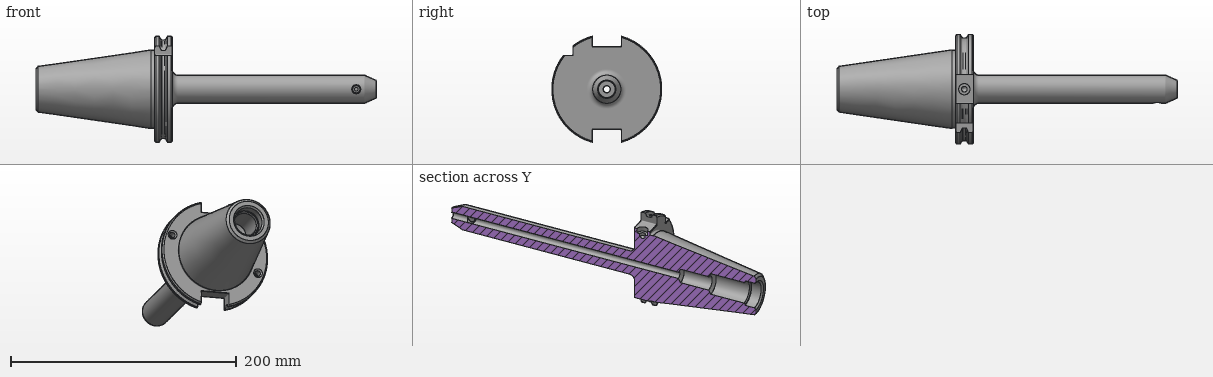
import cadquery as cq
import math


gauge_radius = 69.85 / 2
taper_length = 101.75
taper_slope = 7 / 48
taper_end_radius = gauge_radius - taper_length * taper_slope
taper_end_chamfer = 2.0

flange_radius = 97.5 / 2
flange_start = 3.2
flange_end = 19.1
flange_front_chamfer = 1.3
flange_rear_chamfer = 1.0
relief_depth = 0.35
vee_center = 11.1
vee_depth = 3.1
vee_floor_width = 3.8
vee_half_angle = 30
vee_floor_fillet = 1.2

slot_width = 25.7
upper_slot_floor = 37.7
lower_slot_floor = 35.5
notch_offset = 30.0
slot_corner_radius = 0.8
slot_floor_chamfer = 0.5

shank_radius = 12.5
shank_fillet = 5.0
tip_end = 200.0
tip_chamfer = 0.7
tip_radius = 8.1
tip_cone_angle = 24
tip_blend_radius = 2.0

mouth_radius = 14.2
counterbore_radius = 12.6
counterbore_depth = 11.0
thread_mouth_radius = 11.6
thread_radius = 10.5
thread_depth = 45.0
drill_radius = 6.8
drill_depth = 75.0
drill_half_angle = 59
tool_bore_radius = 3.0

coolant_circle_radius = 42.0
coolant_tilt = 20
coolant_radius = 2.5
coolant_mouth_radius = 4.0
coolant_chamfer = 1.0
coolant_depth = 10.0

chip_radius = 5.0
chip_depth = 4.6
chip_pilot_radius = 2.5
chip_pilot_depth = 3.0

screw_x = tip_end - 18.0
screw_radius = 4.0
screw_recess = 1.0
screw_chamfer = 0.8
hex_size = 3.0
hex_depth = 3.0


def cone_length(large_radius, small_radius):
    """Axial length of a drill point between two radii."""
    return (large_radius - small_radius) / math.tan(math.radians(drill_half_angle))


def drill_point(radius, base, direction):
    """Conical bottom of a drilled hole."""
    return cq.Solid.makeCone(radius, 0, cone_length(radius, 0), base, direction)


def revolve_about_x(outline):
    return outline.close().revolve(360, (0, 0, 0), (1, 0, 0))


def taper_flange_and_shank():
    flank_angle = math.radians(vee_half_angle)
    vee_floor_radius = flange_radius - vee_depth
    vee_floor_half = vee_floor_width / 2
    vee_mouth_half = vee_floor_half + vee_depth * math.tan(flank_angle)

    vee_tangent = vee_floor_fillet * math.tan((math.pi / 2 - flank_angle) / 2)
    fillet_floor_half = vee_floor_half - vee_tangent
    fillet_flank_half = vee_floor_half + vee_tangent * math.sin(flank_angle)
    fillet_flank_radius = vee_floor_radius + vee_tangent * math.cos(flank_angle)

    relief_radius = gauge_radius - relief_depth

    cone_angle = math.radians(tip_cone_angle)
    cone_end = tip_end - tip_chamfer
    cone_start = cone_end - (shank_radius - tip_radius) / math.tan(cone_angle)
    blend_tangent = tip_blend_radius * math.tan(cone_angle / 2)
    blend_end_x = cone_start + blend_tangent * math.cos(cone_angle)
    blend_end_radius = shank_radius - blend_tangent * math.sin(cone_angle)

    outline = (
        cq.Workplane("XY")
        .moveTo(-taper_length, 0)
        .lineTo(-taper_length, taper_end_radius - taper_end_chamfer)
        .lineTo(-taper_length + taper_end_chamfer, taper_end_radius + taper_end_chamfer * taper_slope)
        .lineTo(0, gauge_radius)
        .lineTo(relief_depth, relief_radius)
        .lineTo(flange_start - relief_depth, relief_radius)
        .radiusArc((flange_start, gauge_radius), -relief_depth)
        .lineTo(flange_start, flange_radius - flange_front_chamfer)
        .lineTo(flange_start + flange_front_chamfer, flange_radius)
        .lineTo(vee_center - vee_mouth_half, flange_radius)
        .lineTo(vee_center - fillet_flank_half, fillet_flank_radius)
        .radiusArc((vee_center - fillet_floor_half, vee_floor_radius), -vee_floor_fillet)
        .lineTo(vee_center + fillet_floor_half, vee_floor_radius)
        .radiusArc((vee_center + fillet_flank_half, fillet_flank_radius), -vee_floor_fillet)
        .lineTo(vee_center + vee_mouth_half, flange_radius)
        .lineTo(flange_end - flange_rear_chamfer, flange_radius)
        .lineTo(flange_end, flange_radius - flange_rear_chamfer)
        .lineTo(flange_end, shank_radius + shank_fillet)
        .radiusArc((flange_end + shank_fillet, shank_radius), -shank_fillet)
        .lineTo(cone_start - blend_tangent, shank_radius)
        .radiusArc((blend_end_x, blend_end_radius), tip_blend_radius)
        .lineTo(cone_end, tip_radius)
        .lineTo(tip_end, tip_radius - tip_chamfer)
        .lineTo(tip_end, 0)
    )
    return revolve_about_x(outline)


def axial_bores():
    thread_start = counterbore_depth - taper_length
    thread_end = thread_depth - taper_length
    drill_end = drill_depth - taper_length
    mouth_chamfer = mouth_radius - counterbore_radius
    outline = (
        cq.Workplane("XY")
        .moveTo(-taper_length, 0)
        .lineTo(-taper_length, mouth_radius)
        .lineTo(-taper_length + mouth_chamfer, counterbore_radius)
        .lineTo(thread_start, counterbore_radius)
        .lineTo(thread_start, thread_mouth_radius)
        .lineTo(thread_start + thread_mouth_radius - thread_radius, thread_radius)
        .lineTo(thread_end, thread_radius)
        .lineTo(thread_end + cone_length(thread_radius, drill_radius), drill_radius)
        .lineTo(drill_end, drill_radius)
        .lineTo(drill_end + cone_length(drill_radius, tool_bore_radius), tool_bore_radius)
        .lineTo(tip_end, tool_bore_radius)
        .lineTo(tip_end, 0)
    )
    return revolve_about_x(outline)


def flange_cut(y_min, y_max, floor, rounded_edges):
    """Cutter through the flange above a floor, with rounded corners and a chamfered front floor edge."""
    cutter = (
        cq.Workplane("XY")
        .box(flange_end - flange_start, y_max - y_min, flange_radius - floor, centered=False)
        .translate((flange_start, y_min, floor))
        .edges(rounded_edges)
        .fillet(slot_corner_radius)
    )
    floor_bevel = (
        cq.Workplane("XZ", origin=(0, y_max, 0))
        .moveTo(flange_start, floor - slot_floor_chamfer)
        .lineTo(flange_start + slot_floor_chamfer, floor)
        .lineTo(flange_start + slot_floor_chamfer, floor + slot_corner_radius)
        .lineTo(flange_start, floor + slot_corner_radius)
        .close()
        .extrude(y_max - y_min)
    )
    return cutter.union(floor_bevel)


def drive_slots_and_notch():
    half = slot_width / 2
    both_corners = "|X and <Z"
    inner_corner = "(|X and <Z) and >Y"
    upper = flange_cut(-half, half, upper_slot_floor, both_corners)
    lower = flange_cut(-half, half, lower_slot_floor, both_corners).rotate((0, 0, 0), (1, 0, 0), 180)
    notch = flange_cut(-flange_radius, -notch_offset, notch_offset, inner_corner)
    return upper.union(lower).union(notch)


def coolant_hole(angle):
    y = coolant_circle_radius * math.cos(math.radians(angle))
    z = coolant_circle_radius * math.sin(math.radians(angle))
    start = cq.Vector(flange_start, y, z)
    along_x = cq.Vector(1, 0, 0)
    hole = cq.Solid.makeCylinder(coolant_radius, coolant_depth, start, along_x)
    mouth = cq.Solid.makeCone(coolant_mouth_radius, coolant_radius, coolant_chamfer, start, along_x)
    point = drill_point(coolant_radius, start + along_x * coolant_depth, along_x)
    return cq.Workplane(hole.fuse(mouth, point))


def chip_pocket():
    depth_to_pilot = upper_slot_floor - chip_depth
    pocket = (
        cq.Workplane("XY", origin=(vee_center, 0, upper_slot_floor))
        .circle(chip_radius)
        .extrude(-chip_depth)
    )
    pilot = (
        cq.Workplane("XY", origin=(vee_center, 0, depth_to_pilot))
        .circle(chip_pilot_radius)
        .extrude(-chip_pilot_depth)
    )
    pilot_end = cq.Vector(vee_center, 0, depth_to_pilot - chip_pilot_depth)
    point = drill_point(chip_pilot_radius, pilot_end, cq.Vector(0, 0, -1))
    return pocket.union(pilot).union(cq.Workplane(point))


def screw_hole():
    return (
        cq.Workplane("XZ", origin=(screw_x, 0, 0))
        .circle(screw_radius)
        .extrude(shank_radius)
    )


def make_holder():
    holder = taper_flange_and_shank().cut(axial_bores()).cut(drive_slots_and_notch())
    for angle in (coolant_tilt, coolant_tilt + 180):
        holder = holder.cut(coolant_hole(angle))
    return holder.cut(chip_pocket()).cut(screw_hole())


def make_set_screw():
    screw_length = shank_radius - screw_recess - tool_bore_radius
    return (
        cq.Workplane("XZ", origin=(screw_x, -tool_bore_radius, 0))
        .circle(screw_radius)
        .extrude(screw_length)
        .faces("<Y or >Y")
        .chamfer(screw_chamfer)
        .faces("<Y")
        .workplane()
        .polygon(6, hex_size, circumscribed=True)
        .cutBlind(-hex_depth)
    )


holder = make_holder()
set_screw = make_set_screw()
result = cq.Compound.makeCompound([holder.val(), set_screw.val()])